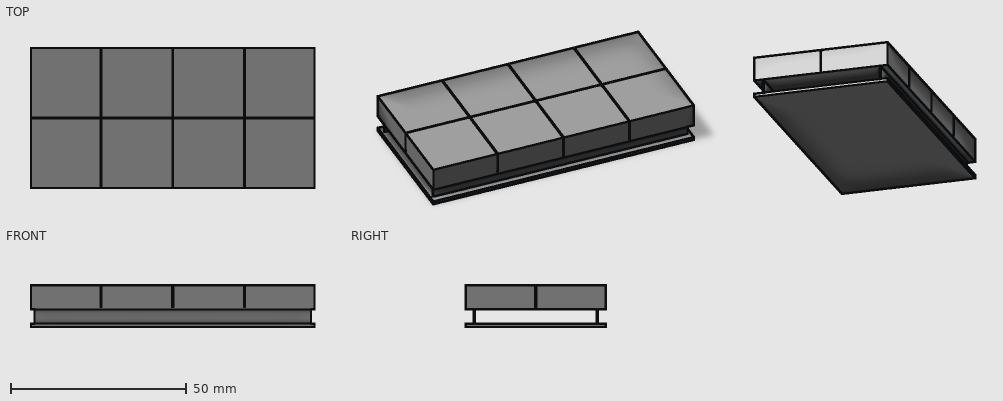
import cadquery as cq

length = 81.0
width = 40.0
height = 12.0

plate_thickness = 1.0
block_height = 7.0
block_bottom = height - block_height

wall_length = 79.05
wall_thickness = 0.5
wall_outer_span = 35.6

groove_pitch = 20.5
groove_width = 0.2
groove_depth = 6.15


def slab(size_x, size_y, bottom, top, center_x=0.0, center_y=0.0):
    """Rectangular slab between two heights, centred at the given place."""
    return (
        cq.Workplane("XY", origin=(center_x, center_y, bottom))
        .rect(size_x, size_y)
        .extrude(top - bottom)
    )


def tiled_block():
    """Upper block with a grid of grooves cut down from its top face."""
    block = slab(length, width, block_bottom, height)
    groove_floor = height - groove_depth
    for x in (-groove_pitch, 0, groove_pitch):
        block = block.cut(slab(groove_width, width, groove_floor, height, center_x=x))
    return block.cut(slab(length, groove_width, groove_floor, height))


def side_walls():
    """Pair of long upright walls between the plate and the block."""
    wall_y = (wall_outer_span - wall_thickness) / 2
    walls = cq.Workplane("XY")
    for y in (-wall_y, wall_y):
        walls = walls.add(slab(wall_length, wall_thickness, plate_thickness, block_bottom, center_y=y))
    return walls.combine()


base_plate = slab(length, width, 0, plate_thickness)
result = base_plate.union(side_walls()).union(tiled_block())